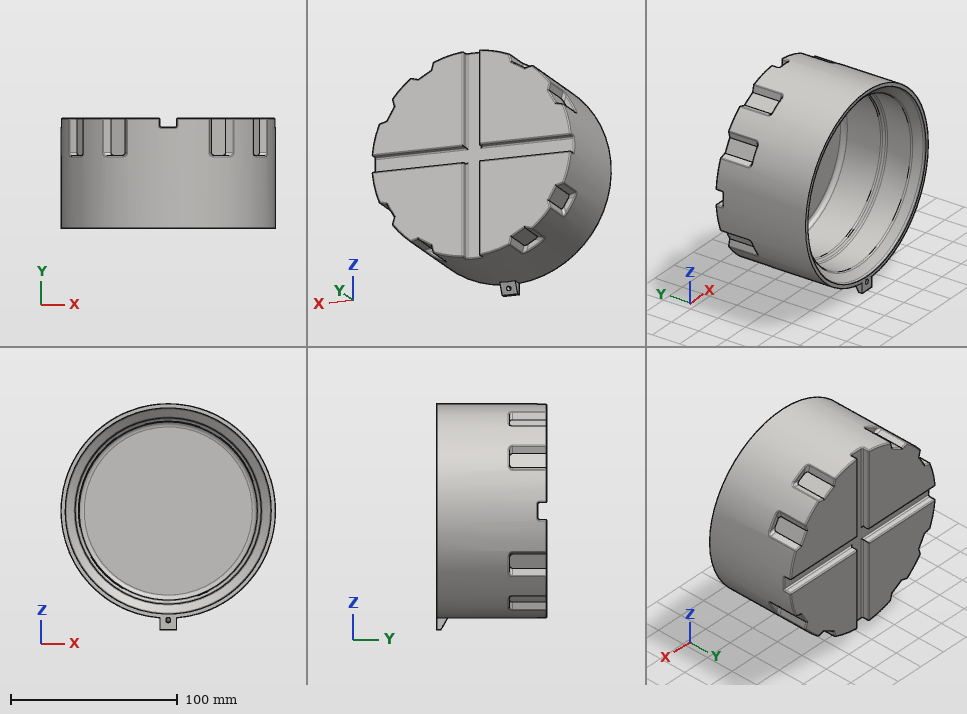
import cadquery as cq
import math

length = 65.9
overall_height = 135.4
outer_radius = 128.5 / 2

mouth_radius = 123.5 / 2
front_bore_radius = 111.5 / 2
rear_bore_radius = 106.7 / 2
mouth_land = 1.4
rear_cone_start = 24.6
cone_angle = 50
cone_blend = 1.5
bore_depth = 54.5
floor_fillet = 3.0

pocket_length = 22.3
pocket_floor_distance = 60.2
pocket_floor_width = 9.7
pocket_end_fillet = 1.8
pocket_angles = [quarter + side for quarter in range(0, 360, 90) for side in (30, 60)]

slot_width = 10.0
slot_depth = 5.3
slot_corner = 1.0

outer_edge_fillet = 0.8

tab_width = 10.0
tab_bottom = overall_height - outer_radius
tab_tip_thickness = 2.6
tab_slope = 30
tab_hole_diameter = 2.7
tab_hole_distance = 65.2

clearance = 2.7


def cone_length(large_radius, small_radius):
    return (large_radius - small_radius) / math.tan(math.radians(cone_angle))


def make_body():
    return cq.Workplane("XZ").circle(outer_radius).extrude(-length)


def make_bore():
    """Solid of revolution about Y with blended cone corners."""
    mouth_cone_end = mouth_land + cone_length(mouth_radius, front_bore_radius)
    rear_cone_end = rear_cone_start + cone_length(front_bore_radius, rear_bore_radius)
    bore = (
        cq.Workplane("XY")
        .polyline([
            (0, 0),
            (mouth_radius, 0),
            (mouth_radius, mouth_land),
            (front_bore_radius, mouth_cone_end),
            (front_bore_radius, rear_cone_start),
            (rear_bore_radius, rear_cone_end),
            (rear_bore_radius, bore_depth),
            (0, bore_depth),
        ])
        .close()
        .revolve(360, (0, 0, 0), (0, 1, 0))
    )
    cone_corners = cq.selectors.BoxSelector(
        (-outer_radius, mouth_land / 2, -outer_radius),
        (outer_radius, bore_depth - floor_fillet, outer_radius),
    )
    bore = bore.edges("%CIRCLE").edges(cone_corners).fillet(cone_blend)
    return bore.edges(">Y").fillet(floor_fillet)


def make_pocket(angle):
    """Cutter with a flat floor, 45-degree sides and a rounded closed end."""
    floor_half = pocket_floor_width / 2
    height = outer_radius + clearance - pocket_floor_distance
    top_half = floor_half + height
    cutter = (
        cq.Workplane("XZ", origin=(0, length - pocket_length, 0))
        .polyline([
            (-floor_half, pocket_floor_distance),
            (floor_half, pocket_floor_distance),
            (top_half, pocket_floor_distance + height),
            (-top_half, pocket_floor_distance + height),
        ])
        .close()
        .extrude(-(pocket_length + clearance))
    )
    cutter = cutter.faces("<Y").edges("not |X").fillet(pocket_end_fillet)
    return cutter.rotate((0, 0, 0), (0, 1, 0), angle)


def make_slot(angle):
    """Cutter for one slot across the whole back face, with rounded bottom corners."""
    span = 2 * (outer_radius + clearance)
    cutter = (
        cq.Workplane("XY")
        .box(slot_width, slot_depth + clearance, span)
        .translate((0, length + (clearance - slot_depth) / 2, 0))
        .edges("|Z and <Y")
        .fillet(slot_corner)
    )
    return cutter.rotate((0, 0, 0), (0, 1, 0), angle)


def make_tab():
    """Wedge under the mouth, thickening upwards into the wall."""
    root = outer_radius - clearance
    root_thickness = tab_tip_thickness + (tab_bottom - root) * math.tan(math.radians(tab_slope))
    return (
        cq.Workplane("YZ", origin=(-tab_width / 2, 0, 0))
        .polyline([
            (0, -root),
            (0, -tab_bottom),
            (tab_tip_thickness, -tab_bottom),
            (root_thickness, -root),
        ])
        .close()
        .extrude(tab_width)
    )


def make_tab_hole():
    """Cutter through the tab, square to its sloped back."""
    slope = math.radians(tab_slope)
    axis = cq.Vector(0, math.cos(slope), -math.sin(slope))
    center = cq.Vector(0, 0, -tab_hole_distance)
    reach = tab_bottom - outer_radius + clearance
    cylinder = cq.Solid.makeCylinder(tab_hole_diameter / 2, 2 * reach, center - axis * reach, axis)
    return cq.Workplane(obj=cylinder)


body = make_body()
for pocket_angle in pocket_angles:
    body = body.cut(make_pocket(pocket_angle))
for slot_angle in (0, 90):
    body = body.cut(make_slot(slot_angle))

back_edges = body.faces(">Y").edges()
wall_edges = body.faces("%CYLINDER").faces("<Y").edges("not <Y")
body = back_edges.add(wall_edges).fillet(outer_edge_fillet)

result = body.union(make_tab()).cut(make_bore()).cut(make_tab_hole())